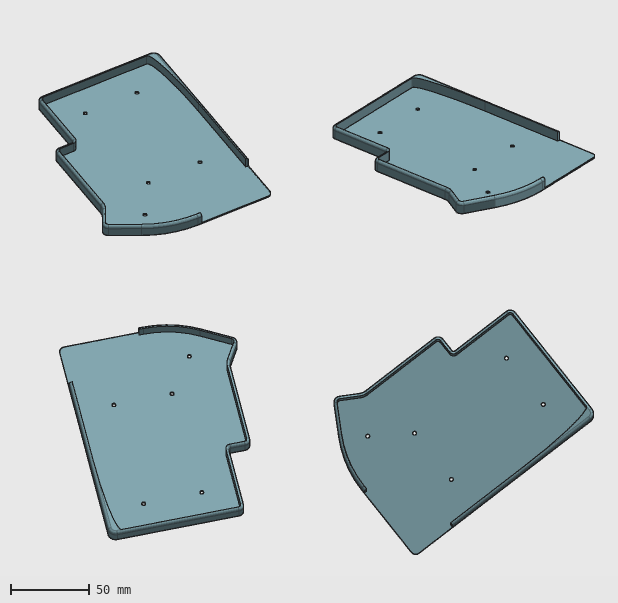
import cadquery as cq
import math


length = 147.52
depth = 111.34
height = 8.0

floor_thickness = 1.0
wall_thickness = 2.0
rim_radius = 2.0

left_side_depth = 88.5
notch_x = 47.0
front_edge_depth = 103.2
foot_angle = math.radians(30)
foot_tip_x = 123.9

back_left_radius = 5.0
back_right_radius = 3.5
front_radius = 4.0
notch_radius = 1.25
foot_bend_radius = 8.0
right_side_radius = 72.0

back_wall_end_x = 116.8
right_wall_end_y = -52.3

sweep_length = 55.0
sweep_depth = 6.4

hole_diameter = 2.4
hole_x = 22.05
hole_y = -27.2
hole_spacing_x = 76.2
hole_spacing_y = 38.1
hole_column_shift = 2.2
foot_hole = (123.0, -80.0)


def foot_corners():
    """Corners of the foot before rounding: inner bend, tip, and start of the right side."""
    sin_a = math.sin(foot_angle)
    cos_a = math.cos(foot_angle)
    center_x = foot_tip_x
    center_y = front_radius - depth
    tip_x = center_x + front_radius * (cos_a - sin_a)
    tip_y = center_y - front_radius * (cos_a + sin_a)
    bend_x = tip_x + (front_edge_depth + tip_y) / math.tan(foot_angle)
    side_y = tip_y + (length - tip_x) / math.tan(foot_angle)
    return (bend_x, -front_edge_depth), (tip_x, tip_y), (length, side_y)


def outline_block():
    """Full-height block with the rounded outline of the part."""
    bend, tip, side = foot_corners()
    rounded_corners = [
        ((0, 0), back_left_radius),
        ((0, -left_side_depth), front_radius),
        ((notch_x, -left_side_depth), notch_radius),
        ((notch_x, -front_edge_depth), front_radius),
        (bend, foot_bend_radius),
        (tip, front_radius),
        (side, right_side_radius),
        ((length, 0), back_right_radius),
    ]
    corner_points = [point for point, _ in rounded_corners]
    block = cq.Workplane("XY").polyline(corner_points).close().extrude(height)
    for point, radius in rounded_corners:
        upright_edge = cq.selectors.NearestToPointSelector((*point, height / 2))
        block = block.edges(upright_edge).fillet(radius)
    return block


def corner_filler():
    """Material between the back-left corner and the elliptical sweep of the cavity."""
    center_x = wall_thickness + sweep_length
    center_y = -wall_thickness - sweep_depth
    return (
        cq.Workplane("XY")
        .moveTo(0, center_y)
        .lineTo(wall_thickness, center_y)
        .ellipseArc(sweep_length, sweep_depth, 90, 180, startAtCurrent=True, sense=-1)
        .lineTo(center_x, 0)
        .lineTo(0, 0)
        .close()
        .extrude(height)
    )


def cavity(block):
    """Space inside the wall, above the floor."""
    inner_outline = block.faces("<Z").wires().val().offset2D(-wall_thickness)
    inner = cq.Workplane("XY").add(inner_outline).toPending().extrude(height)
    return inner.cut(corner_filler()).translate((0, 0, floor_thickness))


def wall_gap():
    """Box that removes the wall around the back-right corner, above the floor."""
    return cq.Workplane("XY").box(
        length - back_wall_end_x, -right_wall_end_y, height, centered=False
    ).translate((back_wall_end_x, right_wall_end_y, floor_thickness))


def screw_holes():
    """Holes through the floor."""
    centers = [foot_hole]
    for column in range(2):
        for row in range(2):
            x = hole_x + column * hole_spacing_x
            y = hole_y + column * hole_column_shift - row * hole_spacing_y
            centers.append((x, y))
    return cq.Workplane("XY").pushPoints(centers).circle(hole_diameter / 2).extrude(height)


block = outline_block()
body = block.faces(">Z").edges().fillet(rim_radius)
result = body.cut(cavity(block)).cut(wall_gap()).cut(screw_holes())